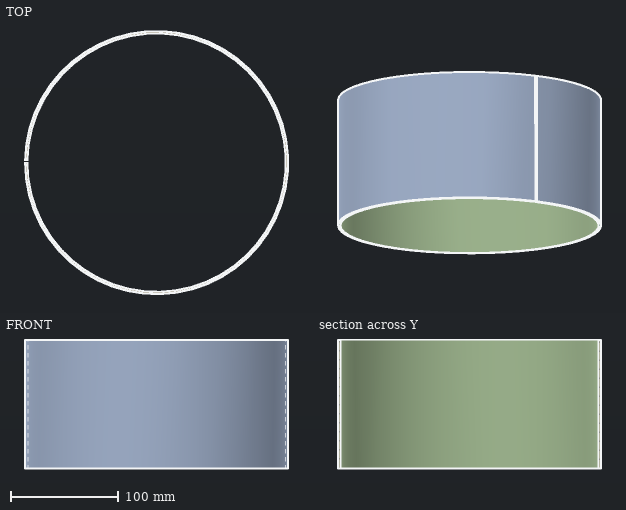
import cadquery as cq

outer_diameter = 245.0
wall_thickness = 2.5
height = 120.0
outer_chamfer = 0.5
inner_chamfer = 0.2
slit_angle = 1.0

outer_radius = outer_diameter / 2
inner_radius = outer_radius - wall_thickness


def make_wall_section():
    """Radial section of the wall in the XZ plane, on the -X side, standing on Z = 0."""
    return (
        cq.Workplane("XZ")
        .moveTo(-inner_radius - inner_chamfer, 0)
        .lineTo(-outer_radius + outer_chamfer, 0)
        .lineTo(-outer_radius, outer_chamfer)
        .lineTo(-outer_radius, height - outer_chamfer)
        .lineTo(-outer_radius + outer_chamfer, height)
        .lineTo(-inner_radius - inner_chamfer, height)
        .lineTo(-inner_radius, height - inner_chamfer)
        .lineTo(-inner_radius, inner_chamfer)
        .close()
    )


def make_sleeve():
    """Sweep the section around Z, stopping short of a full turn to leave the slit."""
    return make_wall_section().revolve(360 - slit_angle, (0, 0, 0), (0, 1, 0))


result = make_sleeve()